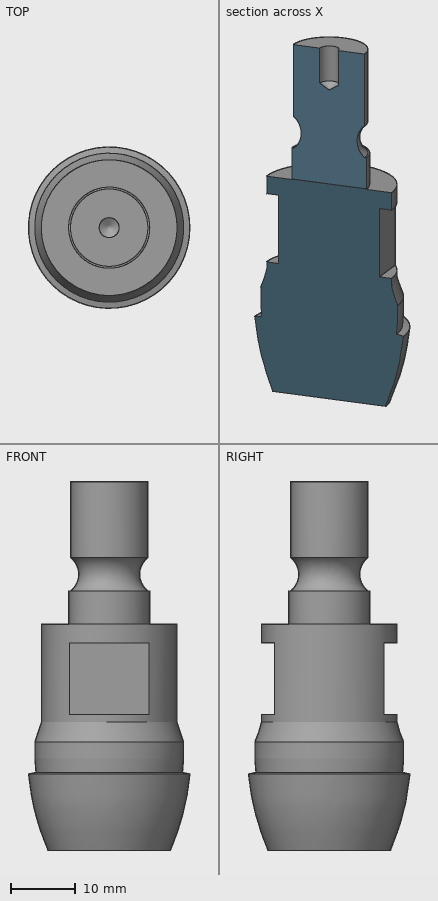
import cadquery as cq
import math

TOTAL_HEIGHT = 56.95
GROOVE_TOP = 45.2
GROOVE_BOTTOM = 40.1
BODY_TOP = 34.95
FLAT_TOP = 32.05
FLAT_BOTTOM = 21.0
CONE_TOP = 19.8
COLLAR_TOP = 16.75
COLLAR_BOTTOM = 14.2
RIM_TOP = 12.1
RIM_EDGE = 11.85
RIM_LAND = 0.15
HEAD_BULGE_HEIGHT = 5.4

STEM_RADIUS = 6.0
GROOVE_RADIUS = 4.7
STEM_FOOT_RADIUS = 6.25

BODY_RADIUS = 10.5
COLLAR_RADIUS = 11.5
NECK_RADIUS = 11.35
HEAD_RADIUS = 12.5
HEAD_BULGE_RADIUS = 11.35
BASE_RADIUS = 9.45

FLAT_DISTANCE = 8.5
CENTRE_RADIUS = 1.55
CENTRE_DEPTH = 5.7
DRILL_POINT_ANGLE = 118.0


def make_centre_hole():
    """Drilled hole with a conical bottom in the top face of the stem."""
    shoulder = TOTAL_HEIGHT - CENTRE_DEPTH
    point_depth = CENTRE_RADIUS / math.tan(math.radians(DRILL_POINT_ANGLE / 2))
    return (
        cq.Workplane("XZ")
        .moveTo(0, TOTAL_HEIGHT)
        .lineTo(CENTRE_RADIUS, TOTAL_HEIGHT)
        .lineTo(CENTRE_RADIUS, shoulder)
        .lineTo(0, shoulder - point_depth)
        .close()
        .revolve(360, (0, 0, 0), (0, 1, 0))
    )


def make_stem():
    """Turned stem with a rounded groove, standing on the body."""
    groove_middle = (GROOVE_TOP + GROOVE_BOTTOM) / 2
    stem = (
        cq.Workplane("XZ")
        .moveTo(0, BODY_TOP)
        .lineTo(STEM_FOOT_RADIUS, BODY_TOP)
        .lineTo(STEM_FOOT_RADIUS, GROOVE_BOTTOM)
        .lineTo(STEM_RADIUS, GROOVE_BOTTOM)
        .threePointArc((GROOVE_RADIUS, groove_middle), (STEM_RADIUS, GROOVE_TOP))
        .lineTo(STEM_RADIUS, TOTAL_HEIGHT)
        .lineTo(0, TOTAL_HEIGHT)
        .close()
        .revolve(360, (0, 0, 0), (0, 1, 0))
    )
    return stem.cut(make_centre_hole())


def make_turned_body():
    """Cylinder, collar and bulged head as one turned shape."""
    return (
        cq.Workplane("XZ")
        .lineTo(BASE_RADIUS, 0)
        .threePointArc((HEAD_BULGE_RADIUS, HEAD_BULGE_HEIGHT), (HEAD_RADIUS, RIM_EDGE - RIM_LAND))
        .lineTo(HEAD_RADIUS, RIM_EDGE)
        .lineTo(NECK_RADIUS, RIM_TOP)
        .lineTo(COLLAR_RADIUS, COLLAR_BOTTOM)
        .lineTo(COLLAR_RADIUS, COLLAR_TOP)
        .lineTo(BODY_RADIUS, CONE_TOP)
        .lineTo(BODY_RADIUS, BODY_TOP)
        .lineTo(0, BODY_TOP)
        .close()
        .revolve(360, (0, 0, 0), (0, 1, 0))
    )


def make_body():
    """Turned body with two opposite wrench flats facing -Y and +Y."""
    body = make_turned_body()
    flat_height = FLAT_TOP - FLAT_BOTTOM
    for side in (-1, 1):
        cutter = cq.Workplane("XY").box(2 * BODY_RADIUS, BODY_RADIUS, flat_height).translate(
            (0, side * (FLAT_DISTANCE + BODY_RADIUS / 2), (FLAT_TOP + FLAT_BOTTOM) / 2)
        )
        body = body.cut(cutter)
    return body


stem = make_stem()
body = make_body()

result = cq.Compound.makeCompound([stem.val(), body.val()])